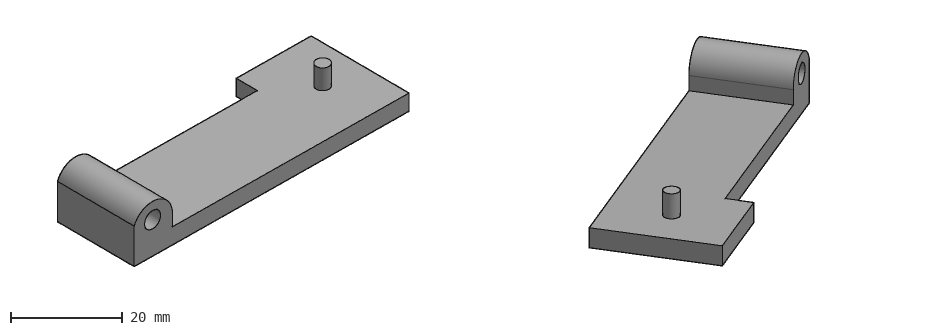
import cadquery as cq
import math

length = 69.1
head_width = 25.0
plate_thickness = 4.0

head_length = 18.85
arm_inset = 5.4
arm_width = head_width - arm_inset

hinge_height = 12.0
barrel_radius = 5.0
barrel_y = 4.6
barrel_z = hinge_height - barrel_radius
hinge_hole_diameter = 4.0
hinge_hole_z = 8.0

pin_diameter = 3.2
pin_top_z = 9.0


def make_plate():
    head = cq.Workplane("XY").box(head_width, head_length, plate_thickness, centered=False)
    head = head.translate((0, length - head_length, 0))
    arm = cq.Workplane("XY").box(arm_width, length, plate_thickness, centered=False)
    return head.union(arm.translate((arm_inset, 0, 0)))


def make_hinge():
    front_edge_z = barrel_z + math.sqrt(barrel_radius**2 - barrel_y**2)
    back_y = barrel_y + barrel_radius
    profile = (
        cq.Workplane("YZ", origin=(arm_inset, 0, 0))
        .lineTo(back_y, 0)
        .lineTo(back_y, barrel_z)
        .threePointArc((barrel_y, hinge_height), (0, front_edge_z))
        .close()
    )
    return profile.extrude(arm_width)


def make_hinge_hole():
    return (
        cq.Workplane("YZ", origin=(arm_inset, barrel_y, hinge_hole_z))
        .circle(hinge_hole_diameter / 2)
        .extrude(arm_width)
    )


def make_pin():
    return (
        cq.Workplane("XY")
        .center(head_width / 2, length - head_length / 2)
        .circle(pin_diameter / 2)
        .extrude(pin_top_z)
    )


result = make_plate().union(make_hinge()).cut(make_hinge_hole()).union(make_pin())